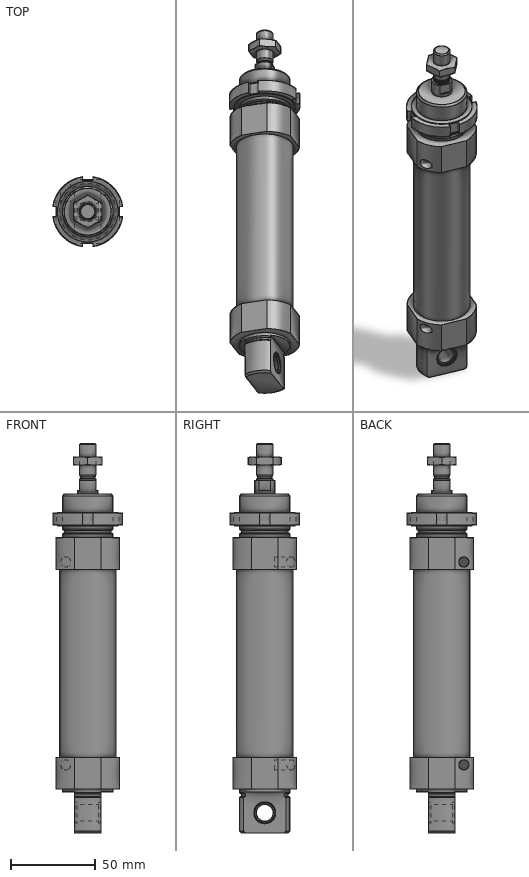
import cadquery as cq
import math

TOTAL_LENGTH = 231.5
REAR_CAP_BOTTOM = 26.0
CAP_LENGTH = 19.0
FRONT_CAP_TOP = 175.5
BOSS_TOP = 201.5

TUBE_DIAMETER = 33.6
CAP_ACROSS_FLATS = 38.0
CAP_DIAMETER = 41.2
THREAD_DIAMETER = 30.0
THREAD_ROOT_DIAMETER = 28.38
RELIEF_DIAMETER = 27.7
RELIEF_LENGTH = 3.0
COLLAR_LENGTH = 2.0

PORT_DIAMETER = 6.0
PORT_DEPTH = 10.0
PORT_OFFSET = 13.1
PORT_FROM_TUBE = 4.5

TONGUE_THICKNESS = 16.0
TONGUE_SHOULDER = 1.5
PIN_HOLE_DIAMETER = 10.0
PIN_HOLE_RIM_DIAMETER = 13.0
PIN_COUNTERBORE_DIAMETER = 12.0
PIN_COUNTERBORE_DEPTH = 1.5
PIN_HOLE_HEIGHT = 12.0

ROD_DIAMETER = 12.0
ROD_THREAD_DIAMETER = 10.0
ROD_NECK_DIAMETER = 8.4
ROD_SHOULDER = TOTAL_LENGTH - 22.0
ROD_COLLAR_DIAMETER = 9.6
ROD_COLLAR_LENGTH = 0.8
ROD_COLLAR_SLOPE = math.tan(math.radians(30))
ROD_NECK_LENGTH = 2.5
ROD_RUNOUT_SLOPE = math.tan(math.radians(60))
ROD_ACROSS_FLATS = 10.0
ROD_FLAT_LENGTH = 6.0

ROD_NUT_BOTTOM = TOTAL_LENGTH - 13.0
ROD_NUT_HEIGHT = 5.0
ROD_NUT_ACROSS_FLATS = 17.0
ROD_NUT_FACE_DIAMETER = 16.5
ROD_NUT_CHAMFER_ANGLE = 15.0

NUT_BOTTOM = 182.5
NUT_HEIGHT = 8.0
NUT_DIAMETER = 42.0
NUT_FACE_DIAMETER = 36.0
NUT_FACE_STEP = 0.5
NUT_SLOT_WIDTH = 6.0
NUT_SLOT_FLOOR = 18.5


def cylinder(diameter, bottom, top):
    """Solid cylinder on the Z axis between two heights."""
    return cq.Workplane("XY").workplane(offset=bottom).circle(diameter / 2).extrude(top - bottom)


def turned(points):
    """Solid of revolution about the Z axis from (radius, height) points."""
    return cq.Workplane("XZ").polyline(points).close().revolve(360, (0, 0, 0), (0, 1, 0))


def slab_outside_flats(across_flats, bottom, top):
    """Material beyond two flats that face -X and +X."""
    size = CAP_DIAMETER
    height = top - bottom
    middle = (bottom + top) / 2
    offset = (across_flats + size) / 2
    return (
        cq.Workplane("XY")
        .pushPoints([(-offset, 0), (offset, 0)])
        .box(size, size, height)
        .translate((0, 0, middle))
    )


def cap(bottom):
    """End cap: a cylinder trimmed by four flats."""
    square = cq.Workplane("XY").workplane(offset=bottom).rect(CAP_ACROSS_FLATS, CAP_ACROSS_FLATS)
    return cylinder(CAP_DIAMETER, bottom, bottom + CAP_LENGTH).intersect(square.extrude(CAP_LENGTH))


def threaded_end(base, length):
    """Threaded stub rising from a cap: collar, relief groove with beveled sides, thread, end chamfer."""
    thread = THREAD_DIAMETER / 2
    root = THREAD_ROOT_DIAMETER / 2
    relief = RELIEF_DIAMETER / 2
    groove_bevel = thread - root
    end_bevel = thread - relief
    collar_end = base + COLLAR_LENGTH
    groove_end = collar_end + RELIEF_LENGTH
    top = base + length
    return turned([
        (0, base),
        (thread, base),
        (thread, collar_end),
        (root, collar_end + groove_bevel),
        (relief, collar_end + groove_bevel),
        (relief, groove_end - groove_bevel),
        (root, groove_end - groove_bevel),
        (thread, groove_end),
        (thread, top - end_bevel),
        (relief, top),
        (0, top),
    ])


def port(height):
    """Blind port hole, parallel to Y, entering the round corner between the -X and +Y flats of a cap."""
    entry = math.sqrt((CAP_DIAMETER / 2) ** 2 - PORT_OFFSET ** 2)
    hole = cq.Workplane("XZ").circle(PORT_DIAMETER / 2).extrude(CAP_DIAMETER)
    return hole.translate((-PORT_OFFSET, entry - PORT_DEPTH + CAP_DIAMETER, height))


def clevis_tongue():
    """Rear threaded end cut to a tongue, with a counterbored pin hole across it."""
    stub = threaded_end(0, REAR_CAP_BOTTOM)
    stub = stub.rotate((0, 0, 0), (1, 0, 0), 180).translate((0, 0, REAR_CAP_BOTTOM))
    stub = stub.cut(slab_outside_flats(TONGUE_THICKNESS, 0, REAR_CAP_BOTTOM - TONGUE_SHOULDER))
    half = TONGUE_THICKNESS / 2
    ledge = half - PIN_COUNTERBORE_DEPTH
    rim = PIN_HOLE_RIM_DIAMETER / 2
    counterbore = PIN_COUNTERBORE_DIAMETER / 2
    bevel_end = half - (rim - counterbore)
    pin_hole = (
        cq.Workplane("XY")
        .polyline([
            (-half, 0),
            (-half, rim),
            (-bevel_end, counterbore),
            (-ledge, counterbore),
            (-ledge, PIN_HOLE_DIAMETER / 2),
            (ledge, PIN_HOLE_DIAMETER / 2),
            (ledge, counterbore),
            (bevel_end, counterbore),
            (half, rim),
            (half, 0),
        ])
        .close()
        .revolve(360, (0, 0, 0), (1, 0, 0))
        .translate((0, 0, PIN_HOLE_HEIGHT))
    )
    return stub.cut(pin_hole)


def make_housing():
    """Tube, both end caps, front threaded boss and rear clevis."""
    rear_cap_top = REAR_CAP_BOTTOM + CAP_LENGTH
    front_cap_bottom = FRONT_CAP_TOP - CAP_LENGTH
    return (
        clevis_tongue()
        .union(cap(REAR_CAP_BOTTOM))
        .union(cylinder(TUBE_DIAMETER, rear_cap_top, front_cap_bottom))
        .union(cap(front_cap_bottom))
        .union(threaded_end(FRONT_CAP_TOP, BOSS_TOP - FRONT_CAP_TOP))
        .cut(port(rear_cap_top - PORT_FROM_TUBE))
        .cut(port(front_cap_bottom + PORT_FROM_TUBE))
    )


def make_rod():
    """Piston rod: wrench flats, undercut neck and threaded tip."""
    thread = ROD_THREAD_DIAMETER / 2
    neck = ROD_NECK_DIAMETER / 2
    bevel = thread - neck
    collar = ROD_COLLAR_DIAMETER / 2
    collar_top = ROD_SHOULDER + ROD_COLLAR_LENGTH
    neck_top = collar_top + ROD_NECK_LENGTH
    rod = turned([
        (0, BOSS_TOP),
        (ROD_DIAMETER / 2, BOSS_TOP),
        (ROD_DIAMETER / 2, ROD_SHOULDER),
        (collar, ROD_SHOULDER),
        (collar, collar_top),
        (neck, collar_top + (collar - neck) * ROD_COLLAR_SLOPE),
        (neck, neck_top - bevel * ROD_RUNOUT_SLOPE),
        (thread, neck_top),
        (thread, TOTAL_LENGTH - bevel),
        (neck, TOTAL_LENGTH),
        (0, TOTAL_LENGTH),
    ])
    return rod.cut(slab_outside_flats(ROD_ACROSS_FLATS, ROD_SHOULDER - ROD_FLAT_LENGTH, ROD_SHOULDER))


def make_rod_nut():
    """Hexagon nut on the rod thread, with flats facing -X and +X and chamfered corners on both faces."""
    across_corners = ROD_NUT_ACROSS_FLATS / math.cos(math.radians(30))
    top = ROD_NUT_BOTTOM + ROD_NUT_HEIGHT
    face = ROD_NUT_FACE_DIAMETER / 2
    rim = across_corners / 2
    drop = (rim - face) * math.tan(math.radians(ROD_NUT_CHAMFER_ANGLE))
    rounding = turned([
        (0, ROD_NUT_BOTTOM),
        (face, ROD_NUT_BOTTOM),
        (rim, ROD_NUT_BOTTOM + drop),
        (rim, top - drop),
        (face, top),
        (0, top),
    ])
    return (
        cq.Workplane("XY")
        .polygon(6, across_corners)
        .extrude(ROD_NUT_HEIGHT)
        .rotate((0, 0, 0), (0, 0, 1), 30)
        .translate((0, 0, ROD_NUT_BOTTOM))
        .intersect(rounding)
        .cut(cylinder(ROD_THREAD_DIAMETER, ROD_NUT_BOTTOM, top))
    )


def make_mounting_nut():
    """Round slotted nut with a raised face on each side and four spanner slots."""
    top = NUT_BOTTOM + NUT_HEIGHT
    nut = cylinder(NUT_DIAMETER, NUT_BOTTOM + NUT_FACE_STEP, top - NUT_FACE_STEP)
    nut = nut.union(cylinder(NUT_FACE_DIAMETER, NUT_BOTTOM, top))
    nut = nut.cut(cylinder(THREAD_DIAMETER, NUT_BOTTOM, top))
    slot = cq.Workplane("XY").box(NUT_DIAMETER, NUT_SLOT_WIDTH, NUT_HEIGHT)
    slot = slot.translate((NUT_SLOT_FLOOR + NUT_DIAMETER / 2, 0, NUT_BOTTOM + NUT_HEIGHT / 2))
    for quarter in range(4):
        nut = nut.cut(slot.rotate((0, 0, 0), (0, 0, 1), 90 * quarter))
    return nut


housing = make_housing()
rod = make_rod()
rod_nut = make_rod_nut()
mounting_nut = make_mounting_nut()

result = cq.Compound.makeCompound([housing.val(), rod.val(), rod_nut.val(), mounting_nut.val()])